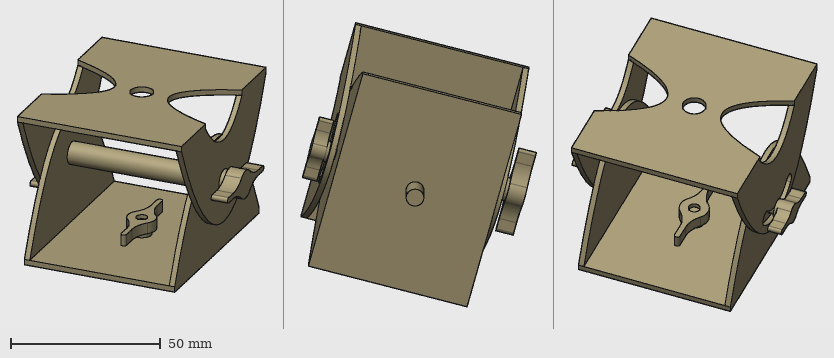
import cadquery as cq
import math

depth = 70.0
sheet = 2.0
bracket_height = 42.0
total_height = 54.0
outer_width = 60.0
inner_width = 55.0
axis_z = total_height / 2

notch_half_width = 15.0
top_notch_reach = 20.0
side_notch_depth = 10.0
sight_hole_diameter = 8.0

slot_width = 5.0
slot_end_y = 10.0
slot_end_z = 22.05
lock_z = 18.0

spacer_diameter = 8.0
journal_diameter = 3.9
journal_hole_diameter = 4.0
handle_hub_length = 2.0
handle_thickness = 6.0

wing_tip_thickness = 2.0
large_wing_hub_diameter = 10.1
handle_half_span = 15.0
large_wing_blend = 10.0
small_wing_hub_diameter = 7.0
small_wing_half_span = 11.0
small_wing_blend = 6.65

lock_shank_diameter = 4.2
lock_collar_diameter = 7.0
lock_collar_length = 1.0
lock_wing_thickness = 4.95

mount_shank_diameter = 5.9
mount_hole_diameter = 6.0
mount_collar_diameter = 7.0
mount_collar_length = 2.0
mount_wing_thickness = 4.0
mount_half_span = 15.75
mount_protrusion = 8.0
mount_pocket_diameter = 4.0
mount_pocket_depth = 1.5


def x_cylinder(diameter, x_start, x_end, z):
    return cq.Workplane("YZ", origin=(x_start, 0, z)).circle(diameter / 2).extrude(x_end - x_start)


def add_parabola(sketch, half_width, end_level, tip_level):
    """Draw a parabola from (half_width, end_level) through (0, tip_level) to the mirrored end."""
    control_level = 2 * tip_level - end_level
    return sketch.bezier(
        [(half_width, end_level), (0, control_level), (-half_width, end_level)]
    )


def make_u_bracket(width):
    """Plate at Z = 0 with two upright cheeks that end in a parabolic crown."""
    half_depth = depth / 2
    profile = (
        cq.Workplane("YZ", origin=(-width / 2, 0, 0))
        .moveTo(-half_depth, sheet)
        .lineTo(-half_depth, 0)
        .lineTo(half_depth, 0)
        .lineTo(half_depth, sheet)
    )
    block = add_parabola(profile, half_depth, sheet, bracket_height).close().extrude(width)
    cavity = cq.Workplane("XY").box(
        width - 2 * sheet, depth, bracket_height, centered=(True, True, False)
    ).translate((0, 0, sheet))
    return block.cut(cavity)


def make_wings(hub_diameter, half_span, blend, thickness):
    """Two-winged grip on the XY plane: a round hub blending into thin wings along X."""
    hub_radius = hub_diameter / 2
    tip_radius = wing_tip_thickness / 2
    blend_y = tip_radius + blend
    blend_x = math.sqrt((hub_radius + blend) ** 2 - blend_y ** 2)
    hub_share = hub_radius / (hub_radius + blend)
    joint_x = blend_x * hub_share
    joint_y = blend_y * hub_share
    middle_angle = (math.atan2(-blend_y, -blend_x) - math.pi / 2) / 2
    middle_x = blend_x + blend * math.cos(middle_angle)
    middle_y = blend_y + blend * math.sin(middle_angle)
    tip_x = half_span - tip_radius
    return (
        cq.Workplane("XY")
        .moveTo(tip_x, tip_radius)
        .lineTo(blend_x, tip_radius)
        .threePointArc((middle_x, middle_y), (joint_x, joint_y))
        .threePointArc((0, hub_radius), (-joint_x, joint_y))
        .threePointArc((-middle_x, middle_y), (-blend_x, tip_radius))
        .lineTo(-tip_x, tip_radius)
        .threePointArc((-half_span, 0), (-tip_x, -tip_radius))
        .lineTo(-blend_x, -tip_radius)
        .threePointArc((-middle_x, -middle_y), (-joint_x, -joint_y))
        .threePointArc((0, -hub_radius), (joint_x, -joint_y))
        .threePointArc((middle_x, -middle_y), (blend_x, -tip_radius))
        .lineTo(tip_x, -tip_radius)
        .threePointArc((half_span, 0), (tip_x, tip_radius))
        .close()
        .extrude(thickness)
    )


def make_large_wings(half_span, thickness):
    return make_wings(large_wing_hub_diameter, half_span, large_wing_blend, thickness)


def stand_along_x(wings, x_start, z):
    """Turn a grip so its thickness runs along +X and its wings along Y."""
    upright = wings.rotate((0, 0, 0), (0, 0, 1), 90).rotate((0, 0, 0), (0, 1, 0), 90)
    return upright.translate((x_start, 0, z))


def make_top_notch():
    """Parabolic notch in the top plate, opening at its +X edge."""
    profile = cq.Workplane(
        cq.Plane(origin=(0, 0, total_height - sheet), xDir=(0, 1, 0), normal=(0, 0, -1))
    ).moveTo(notch_half_width, outer_width / 2)
    tip = outer_width / 2 - top_notch_reach
    return add_parabola(profile, notch_half_width, outer_width / 2, tip).close().extrude(-sheet)


def make_side_notch():
    """Parabolic notch below the top plate, cutting through both cheeks."""
    top = total_height - sheet
    profile = cq.Workplane("YZ", origin=(-outer_width / 2, 0, 0)).moveTo(notch_half_width, top)
    return add_parabola(profile, notch_half_width, top, top - side_notch_depth).close().extrude(outer_width)


def make_lock_slot():
    """Round-ended slot along a circular arc through the left cheek."""
    drop = slot_end_z - lock_z
    radius = (slot_end_y ** 2 + drop ** 2) / (2 * drop)
    center_z = lock_z + radius
    end_angle = math.asin(slot_end_y / radius)

    def arc_point(arc_radius, angle):
        return (arc_radius * math.sin(angle), center_z - arc_radius * math.cos(angle))

    upper = radius - slot_width / 2
    lower = radius + slot_width / 2
    cap_y = slot_width / 2 * math.cos(end_angle)
    cap_z = slot_width / 2 * math.sin(end_angle)
    return (
        cq.Workplane("YZ", origin=(-outer_width / 2, 0, 0))
        .moveTo(*arc_point(upper, -end_angle))
        .threePointArc(arc_point(upper, 0), arc_point(upper, end_angle))
        .threePointArc((slot_end_y + cap_y, slot_end_z + cap_z), arc_point(lower, end_angle))
        .threePointArc(arc_point(lower, 0), arc_point(lower, -end_angle))
        .threePointArc((-slot_end_y - cap_y, slot_end_z + cap_z), arc_point(upper, -end_angle))
        .close()
        .extrude(sheet)
    )


def make_axle():
    """Spacer between the inner cheeks, with thinner journals reaching into the outer cheeks."""
    spacer_half = inner_width / 2 - sheet
    journal_half = outer_width / 2 - sheet / 2
    spacer = x_cylinder(spacer_diameter, -spacer_half, spacer_half, axis_z)
    return spacer.union(x_cylinder(journal_diameter, -journal_half, journal_half, axis_z))


def make_handle():
    hub_start = outer_width / 2
    hub_end = hub_start + handle_hub_length
    hub = x_cylinder(spacer_diameter, hub_start, hub_end, axis_z)
    wings = make_large_wings(handle_half_span, handle_thickness)
    return hub.union(stand_along_x(wings, hub_end, axis_z))


def make_outer_bracket():
    """Inverted bracket carrying the axle and the tilt handle."""
    bracket = make_u_bracket(outer_width).rotate((0, 0, 0), (1, 0, 0), 180)
    bracket = bracket.translate((0, 0, total_height))
    notch = make_top_notch()
    bracket = bracket.cut(notch).cut(notch.mirror("YZ")).cut(make_side_notch())
    sight_hole = (
        cq.Workplane("XY", origin=(0, 0, total_height - sheet))
        .circle(sight_hole_diameter / 2)
        .extrude(sheet)
    )
    bracket = bracket.cut(sight_hole).cut(make_lock_slot())
    return bracket.union(make_axle()).union(make_handle())


def make_lock_screw():
    collar_end = -outer_width / 2
    collar_start = collar_end - lock_collar_length
    shank_end = sheet - inner_width / 2
    shank = x_cylinder(lock_shank_diameter, collar_end, shank_end, lock_z)
    collar = x_cylinder(lock_collar_diameter, collar_start, collar_end, lock_z)
    wings = make_wings(
        small_wing_hub_diameter, small_wing_half_span, small_wing_blend, lock_wing_thickness
    )
    wings = stand_along_x(wings, collar_start - lock_wing_thickness, lock_z)
    return shank.union(collar).union(wings)


def make_inner_bracket():
    """Upright bracket with journal holes, a floor hole and the locking screw."""
    bracket = make_u_bracket(inner_width)
    bracket = bracket.cut(
        x_cylinder(journal_hole_diameter, -inner_width / 2, inner_width / 2, axis_z)
    )
    bracket = bracket.cut(cq.Workplane("XY").circle(mount_hole_diameter / 2).extrude(sheet))
    return bracket.union(make_lock_screw())


def make_mount_screw():
    """Winged screw whose collar rests on the floor, with a blind pocket in its head."""
    head_base = sheet + mount_collar_length
    head_top = head_base + mount_wing_thickness
    shank = (
        cq.Workplane("XY", origin=(0, 0, -mount_protrusion))
        .circle(mount_shank_diameter / 2)
        .extrude(mount_protrusion + sheet)
    )
    collar = (
        cq.Workplane("XY", origin=(0, 0, sheet))
        .circle(mount_collar_diameter / 2)
        .extrude(mount_collar_length)
    )
    wings = make_large_wings(mount_half_span, mount_wing_thickness).rotate((0, 0, 0), (0, 0, 1), 90)
    wings = wings.translate((0, 0, head_base))
    pocket = (
        cq.Workplane("XY", origin=(0, 0, head_top - mount_pocket_depth))
        .circle(mount_pocket_diameter / 2)
        .extrude(mount_pocket_depth)
    )
    return shank.union(collar).union(wings).cut(pocket)


outer_bracket = make_outer_bracket()
inner_bracket = make_inner_bracket()
mount_screw = make_mount_screw()

result = cq.Compound.makeCompound([
    outer_bracket.solids().val(),
    inner_bracket.solids().val(),
    mount_screw.solids().val(),
])